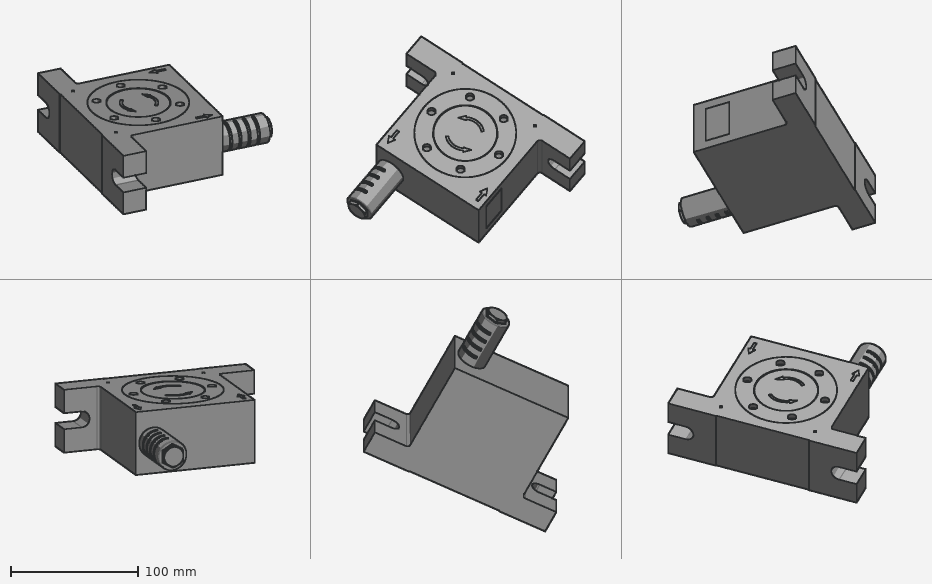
import cadquery as cq
import math

foot_span = 160.0
foot_height = 19.7
block_width = 100.0
block_top = 100.0
depth = 51.5
inner_corner_radius = 2.5

slot_width = 13.0
slot_length = 21.5

relief_width = 79.4
relief_depth = 0.5

pilot_spacing = 80.0
pilot_height = 12.0
pilot_diameter = 2.0
pilot_depth = 2.0
drill_point_angle = 118.0

marking_depth = 0.2
plate_width = 20.2
plate_height = 34.9
plate_center_y = 79.7
arrow_spacing = 87.5
arrow_center_y = 86.7
arrow_length = 13.8
arrow_head_length = 6.0
arrow_head_width = 6.0
arrow_shaft_width = 2.0

cover_center_y = block_top / 2
cover_thickness = 9.6
ring_diameter = 80.0
bore_diameter = 80.3
ring_opening_diameter = 50.9
disc_diameter = 50.0
disc_recess = 0.3
spanner_hole_count = 6
spanner_circle_diameter = 66.0
spanner_hole_diameter = 6.5
spanner_hole_depth = 4.0

turn_center_y = 50.5
turn_outer_radius = 15.2
turn_inner_radius = 13.1
turn_tail_angle = 45.5
turn_head_angle = 122.0
turn_tip_angle = 146.0
turn_tip_radius = 15.5
turn_head_outer_radius = 16.5
turn_head_inner_radius = 12.3

silencer_x = 35.4
silencer_diameter = 24.0
barrel_length = 42.5
barrel_edge_fillet = 0.5
groove_count = 4
groove_pitch = 8.0
groove_width = 2.0
groove_depth = 1.0
first_groove_offset = 8.8
silencer_end = 146.0
hex_across_flats = 16.0
hex_corner_diameter = 18.2
hex_chamfer_height = 0.6
hex_flare = 0.5
hex_flare_angle = 45.0

plug_start = block_top + barrel_length
hex_length = silencer_end - plug_start


def drill(diameter, hole_depth, x, y):
    """Blind hole from the upper face with a conical bottom."""
    radius = diameter / 2
    point = radius / math.tan(math.radians(drill_point_angle / 2))
    profile = [(0, 0), (radius, 0), (radius, -hole_depth), (0, -hole_depth - point)]
    cutter = cq.Workplane("XZ").polyline(profile).close().revolve(360, (0, 0, 0), (0, 1, 0))
    return cutter.translate((x, y, depth))


def polar(radius, angle):
    """Point around the center of the curved arrows."""
    turn = math.radians(angle)
    return (radius * math.cos(turn), turn_center_y + radius * math.sin(turn))


def make_straight_arrow(x, direction):
    """Cutter for an arrow along Y; direction is +1 or -1."""
    tail = -direction * arrow_length / 2
    tip = direction * arrow_length / 2
    neck = tip - direction * arrow_head_length
    half_shaft = arrow_shaft_width / 2
    half_head = arrow_head_width / 2
    outline = [
        (-half_shaft, tail), (-half_shaft, neck), (-half_head, neck), (0, tip),
        (half_head, neck), (half_shaft, neck), (half_shaft, tail),
    ]
    arrow = cq.Workplane("XY").polyline(outline).close().extrude(marking_depth)
    return arrow.translate((x, arrow_center_y, depth - marking_depth))


def make_curved_arrow(start_angle):
    """Cutter for a counterclockwise arrow sunk into the center disc."""
    tail = start_angle + turn_tail_angle
    neck = start_angle + turn_head_angle
    middle = (tail + neck) / 2
    return (
        cq.Workplane("XY").workplane(offset=depth - disc_recess - marking_depth)
        .moveTo(*polar(turn_outer_radius, tail))
        .threePointArc(polar(turn_outer_radius, middle), polar(turn_outer_radius, neck))
        .lineTo(*polar(turn_head_outer_radius, neck))
        .lineTo(*polar(turn_tip_radius, start_angle + turn_tip_angle))
        .lineTo(*polar(turn_head_inner_radius, neck))
        .lineTo(*polar(turn_inner_radius, neck))
        .threePointArc(polar(turn_inner_radius, middle), polar(turn_inner_radius, tail))
        .close()
        .extrude(marking_depth)
    )


def cover_cylinder(diameter, height=cover_thickness):
    """Cylinder standing on the floor of the cover recess."""
    base = cq.Workplane("XY").workplane(offset=depth - cover_thickness)
    return base.center(0, cover_center_y).circle(diameter / 2).extrude(height)


def make_housing():
    feet = cq.Workplane("XY").box(foot_span, foot_height, depth, centered=(True, False, False))
    block = cq.Workplane("XY").box(block_width, block_top, depth, centered=(True, False, False))
    body = feet.union(block)
    inner_corners = [(side * block_width / 2, foot_height, depth / 2) for side in (-1, 1)]
    for corner in inner_corners:
        body = body.edges(cq.selectors.NearestToPointSelector(corner)).fillet(inner_corner_radius)

    half_relief = relief_width / 2
    relief = (
        cq.Workplane("XY")
        .polyline([
            (-half_relief, 0), (half_relief, 0),
            (half_relief - relief_depth, relief_depth), (relief_depth - half_relief, relief_depth),
        ])
        .close()
        .extrude(depth)
    )
    body = body.cut(relief)

    for side in (-1, 1):
        slot = (
            cq.Workplane("XZ", origin=(side * foot_span / 2, 0, depth / 2))
            .slot2D(2 * slot_length, slot_width)
            .extrude(-foot_height)
        )
        body = body.cut(slot)
        body = body.cut(drill(pilot_diameter, pilot_depth, side * pilot_spacing / 2, pilot_height))
        body = body.cut(make_straight_arrow(side * arrow_spacing / 2, side))

    plate = cq.Workplane("XY").box(
        marking_depth, plate_width, plate_height, centered=(False, True, True)
    )
    body = body.cut(plate.translate((-block_width / 2, plate_center_y, depth / 2)))
    return body.cut(cover_cylinder(bore_diameter))


def make_cover_ring():
    ring = cover_cylinder(ring_diameter).cut(cover_cylinder(ring_opening_diameter))
    for index in range(spanner_hole_count):
        angle = math.radians(index * 360 / spanner_hole_count)
        x = spanner_circle_diameter / 2 * math.cos(angle)
        y = cover_center_y + spanner_circle_diameter / 2 * math.sin(angle)
        ring = ring.cut(drill(spanner_hole_diameter, spanner_hole_depth, x, y))
    return ring


def make_center_disc():
    """Disc in the ring's opening, slightly sunken and with a narrow gap around it."""
    disc = cover_cylinder(disc_diameter, cover_thickness - disc_recess)
    for start_angle in (0, 180):
        disc = disc.cut(make_curved_arrow(start_angle))
    return disc


def silencer_plane(y):
    """Plane across the silencer axis, with its normal along +Y."""
    origin = (silencer_x, y, depth / 2)
    return cq.Workplane(cq.Plane(origin=origin, xDir=(0, 0, 1), normal=(0, 1, 0)))


def make_silencer_barrel():
    """Barrel with half-round grooves on its +X side."""
    radius = silencer_diameter / 2
    barrel = silencer_plane(block_top).circle(radius).extrude(barrel_length)
    barrel = barrel.faces("<Y or >Y").edges().fillet(barrel_edge_fillet)
    half_space = cq.Workplane("XY").box(
        silencer_diameter, groove_width, 2 * silencer_diameter, centered=(False, True, True)
    )
    for index in range(groove_count):
        y = block_top + first_groove_offset + index * groove_pitch
        ring = (
            silencer_plane(y - groove_width / 2)
            .circle(radius)
            .circle(radius - groove_depth)
            .extrude(groove_width)
        )
        groove = ring.intersect(half_space.translate((silencer_x, y, depth / 2)))
        barrel = barrel.cut(groove)
    return barrel


def make_hexagon(across_flats, length, taper=0):
    """Hexagonal prism standing on the barrel, with corners toward +Z and -Z."""
    across_corners = across_flats / math.cos(math.pi / 6)
    return silencer_plane(plug_start).polygon(6, across_corners).extrude(length, taper=taper)


def make_hex_plug():
    """Hexagon with turned corners and end, flaring out where it meets the barrel."""
    corner_radius = hex_corner_diameter / 2
    end_radius = hex_across_flats / 2
    shoulder = hex_length - hex_chamfer_height
    turned = (
        cq.Workplane("XY")
        .polyline([
            (0, 0), (corner_radius, 0), (corner_radius, shoulder),
            (end_radius, hex_length), (0, hex_length),
        ])
        .close()
        .revolve(360, (0, 0, 0), (0, 1, 0))
        .translate((silencer_x, plug_start, depth / 2))
    )
    hexagon = make_hexagon(hex_across_flats, hex_length).intersect(turned)
    flare = make_hexagon(hex_across_flats + 2 * hex_flare, hex_flare, taper=hex_flare_angle)
    return hexagon.union(flare)


housing = make_housing()
cover_ring = make_cover_ring()
center_disc = make_center_disc()
silencer_barrel = make_silencer_barrel()
hex_plug = make_hex_plug()

result = cq.Compound.makeCompound([
    housing.val(),
    cover_ring.val(),
    center_disc.val(),
    silencer_barrel.val(),
    hex_plug.val(),
])